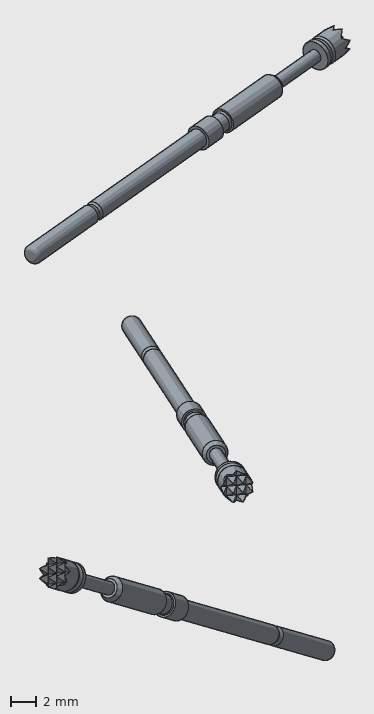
import cadquery as cq
import math

total_length = 40.3

tube_radius = 0.81
tube_groove_radius = 0.70
sleeve_radius = 1.05
shoulder_radius = 0.89
sleeve_nose_radius = 0.78
stem_radius = 0.55
head_radius = 1.25
head_groove_radius = 1.15

tail_round = 0.40
tube_groove_start = 7.80
tube_groove_bottom = 8.19
tube_groove_end = 8.43
collar_start = 22.00
collar_end = 23.90
collar_cone_end = 24.00
sleeve_cone_start = 24.98
sleeve_start = 25.20
sleeve_end = 31.62
sleeve_nose = 32.00
head_start = 37.30
head_groove_start = 37.70
head_groove_bottom = 38.08
head_groove_end = 38.32

groove_pitch = 0.80
groove_angle = 60
grooves_per_direction = 3


def hollow_arc_middle(start, end):
    """Middle of the arc that leaves the start parallel to the axis and bends out to the end."""
    start_radius, start_y = start
    end_radius, end_y = end
    rise = end_radius - start_radius
    run = end_y - start_y
    arc_radius = (rise**2 + run**2) / (2 * rise)
    half_angle = math.atan2(rise, abs(run))
    middle_radius = start_radius + arc_radius * (1 - math.cos(half_angle))
    middle_y = start_y + math.copysign(arc_radius * math.sin(half_angle), run)
    return (middle_radius, middle_y)


def make_body():
    """Revolve the half profile (radius along X, length along Y) about the Y axis."""
    arc_inset = tail_round * (1 - math.sqrt(0.5))
    tube_groove_rim = (tube_radius, tube_groove_start)
    tube_groove_floor = (tube_groove_radius, tube_groove_bottom)
    head_groove_rim = (head_radius, head_groove_start)
    head_groove_floor = (head_groove_radius, head_groove_bottom)
    return (
        cq.Workplane("XY")
        .moveTo(0, 0)
        .lineTo(tube_radius - tail_round, 0)
        .threePointArc((tube_radius - arc_inset, arc_inset), (tube_radius, tail_round))
        .lineTo(*tube_groove_rim)
        .threePointArc(hollow_arc_middle(tube_groove_floor, tube_groove_rim), tube_groove_floor)
        .lineTo(tube_radius, tube_groove_end)
        .lineTo(tube_radius, collar_start)
        .lineTo(sleeve_radius, collar_start)
        .lineTo(sleeve_radius, collar_end)
        .lineTo(shoulder_radius, collar_end)
        .lineTo(tube_radius, collar_cone_end)
        .lineTo(tube_radius, sleeve_cone_start)
        .lineTo(shoulder_radius, sleeve_start)
        .lineTo(sleeve_radius, sleeve_start)
        .lineTo(sleeve_radius, sleeve_end)
        .lineTo(sleeve_nose_radius, sleeve_nose)
        .lineTo(stem_radius, sleeve_nose)
        .lineTo(stem_radius, head_start)
        .lineTo(head_radius, head_start)
        .lineTo(*head_groove_rim)
        .threePointArc(hollow_arc_middle(head_groove_floor, head_groove_rim), head_groove_floor)
        .lineTo(head_radius, head_groove_end)
        .lineTo(head_radius, total_length)
        .lineTo(0, total_length)
        .close()
        .revolve(360, (0, 0, 0), (0, 1, 0))
    )


def cut_crown(body):
    """Cut equal V grooves along X and along Z so that pyramid teeth remain on the head."""
    half_pitch = groove_pitch / 2
    groove_depth = half_pitch / math.tan(math.radians(groove_angle / 2))
    groove = (
        cq.Workplane("XY")
        .moveTo(-half_pitch, total_length)
        .lineTo(half_pitch, total_length)
        .lineTo(0, total_length - groove_depth)
        .close()
        .extrude(head_radius, both=True)
    )
    middle = (grooves_per_direction - 1) / 2
    for direction_angle in (0, 90):
        for index in range(grooves_per_direction):
            offset = (index - middle) * groove_pitch
            placed_groove = groove.translate((offset, 0, 0))
            body = body.cut(placed_groove.rotate((0, 0, 0), (0, 1, 0), direction_angle))
    return body


result = cut_crown(make_body())